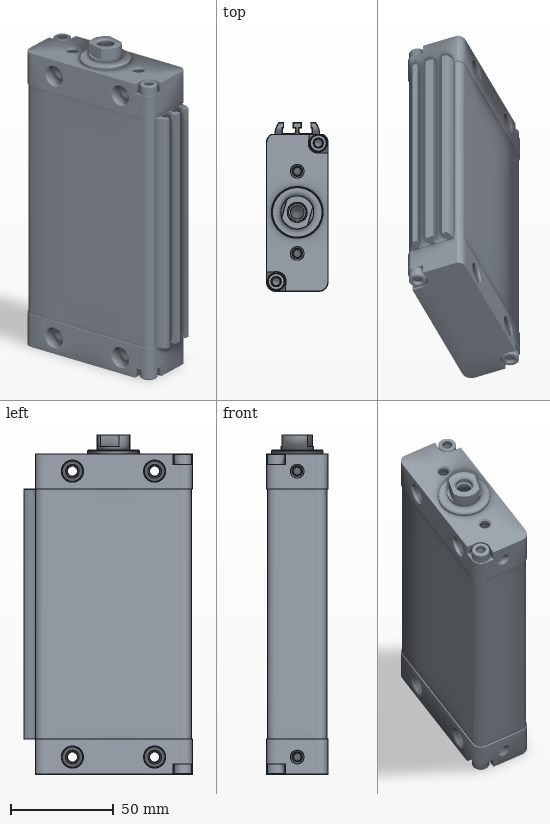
import cadquery as cq
import math

total_height = 165
cap_width = 30.0
cap_height = 17.2
cap_reach = 38.5
cap_flat_reach = 38.0
corner_radius = 4.8
rod_projection = 9.2
cap_top = total_height - rod_projection
barrel_inset = 0.5

hole_height = 8.4
hole_spacing = 40.0
counterbore_diameter = 10.0
counterbore_depth = 5.5
counterbore_chamfer = 0.3
mount_hole_diameter = 5.0
mount_hole_mouth = 6.6
port_diameter = 5.0
port_mouth = 6.6
port_depth = 4.0
port_drill_diameter = 4.0
port_drill_depth = 1.0

screw_x = cap_width / 2 - corner_radius
screw_y = cap_reach - corner_radius
pocket_depth = 5.1
pocket_size_x = 9.2
pocket_size_y = 9.5
pocket_round_diameter = 9.7
head_diameter = 8.5
head_top_diameter = 7.8
socket_diameter = 5.0
socket_point_diameter = 4.0
socket_depth = 2.5

collar_diameter = 25.0
collar_height = 2.0
collar_chamfer = 0.5

rod_diameter = 16.0
rod_across_flats = 13.0
rod_flat_length = 5.8
rod_flat_angle = -15.5
rod_bore_mouth = 9.7
rod_thread_diameter = 8.4
rod_thread_depth = 3.0
rod_bore_diameter = 6.6
rod_bore_depth = 9.9
drill_point_angle = 118

rail_reach = 43.5
rail_lip_y = 41.1
rail_floor_y = 38.3
tee_half_width = 2.0
tee_stem_half_width = 0.8
tee_flare = 0.7
hook_lip_x = 6.6
hook_web_x = 7.3
hook_top_x = 8.9
hook_back_x = 10.2
hook_back_y = 41.2
hook_base_x = 10.9


def rounded_block(width, length, radius, height):
    return cq.Workplane("XY").rect(width, length).extrude(height).edges("|Z").fillet(radius)


def cone_point(diameter):
    """Depth of the conical end that a drill leaves."""
    return diameter / 2 / math.tan(math.radians(drill_point_angle / 2))


def cross_direction(direction):
    """A direction square to the given axis direction."""
    return (0, 1, 0) if direction[0] else (1, 0, 0)


def stepped_tool(start, direction, profile):
    """Turned cutter: profile lists (radius, depth) points, running from start along direction."""
    plane = cq.Plane(origin=start, xDir=cross_direction(direction), normal=direction)
    points = [(0, profile[0][1])] + profile
    if profile[-1][0] > 0:
        points.append((0, profile[-1][1]))
    blank = cq.Workplane("XZ").polyline(points).close().revolve(360, (0, 0), (0, 1))
    return cq.Workplane(blank.val().located(cq.Location(plane)))


def port_tool(start, direction):
    """Threaded blind hole with a chamfered mouth and a narrower drilled end."""
    chamfer = (port_mouth - port_diameter) / 2
    return stepped_tool(start, direction, [
        (port_mouth / 2, 0),
        (port_diameter / 2, chamfer),
        (port_diameter / 2, port_depth),
        (port_drill_diameter / 2, port_depth),
        (port_drill_diameter / 2, port_depth + port_drill_depth),
    ])


def mount_hole_tool(y):
    """Cross hole through the cap in X, counterbored from both faces."""
    tool = None
    bore_chamfer = (mount_hole_mouth - mount_hole_diameter) / 2
    profile = [
        (counterbore_diameter / 2 + counterbore_chamfer, 0),
        (counterbore_diameter / 2, counterbore_chamfer),
        (counterbore_diameter / 2, counterbore_depth),
        (mount_hole_mouth / 2, counterbore_depth),
        (mount_hole_diameter / 2, counterbore_depth + bore_chamfer),
        (mount_hole_diameter / 2, cap_width / 2),
    ]
    for side in (-1, 1):
        half = stepped_tool((side * cap_width / 2, y, cap_height - hole_height), (-side, 0, 0), profile)
        tool = half if tool is None else tool.union(half)
    return tool


def screw_head():
    """Screw head about the Z axis, flush with the outer face of the cap, with a round socket."""
    chamfer = (head_diameter - head_top_diameter) / 2
    head = cq.Workplane("XY").workplane(offset=cap_height - pocket_depth)
    head = head.circle(head_diameter / 2).extrude(pocket_depth).faces(">Z").chamfer(chamfer)
    socket = stepped_tool((0, 0, cap_height), (0, 0, -1), [
        (socket_diameter / 2, 0),
        (socket_diameter / 2, socket_depth),
        (socket_point_diameter / 2, socket_depth),
        (0, socket_depth + cone_point(socket_point_diameter)),
    ])
    return head.cut(socket)


def pocket_tool():
    """Round recess about a screw at the origin, opened out through both faces of the +X +Y corner."""
    tool = cq.Workplane("XY").circle(pocket_round_diameter / 2).extrude(pocket_depth)
    corner = (corner_radius, corner_radius, pocket_depth / 2)
    for width, length in ((2 * pocket_size_x, 2 * corner_radius), (2 * corner_radius, 2 * pocket_size_y)):
        tool = tool.union(cq.Workplane("XY").box(width, length, pocket_depth).translate(corner))
    return tool.translate((0, 0, cap_height - pocket_depth))


def add_corner_screws(cap):
    """Pockets in two opposite corners, each with a screw head standing in it."""
    for turn in (0, 180):
        pocket = pocket_tool().translate((screw_x, screw_y, 0))
        head = screw_head().translate((screw_x, screw_y, 0))
        cap = cap.cut(pocket.rotate((0, 0, 0), (0, 0, 1), turn))
        cap = cap.union(head.rotate((0, 0, 0), (0, 0, 1), turn))
    return cap


def make_cap():
    """End cap with its inner face at Z = 0 and its outer face at Z = cap_height."""
    cap = rounded_block(cap_width, 2 * cap_reach, corner_radius, cap_height)
    trim = cq.Workplane("XY").box(cap_width, cap_reach, cap_height, centered=(True, False, False))
    cap = cap.cut(trim.translate((0, cap_flat_reach, 0)))
    cap = add_corner_screws(cap)
    for y in (-hole_spacing / 2, hole_spacing / 2):
        cap = cap.cut(mount_hole_tool(y))
    return cap.cut(port_tool((0, -cap_reach, cap_height - hole_height), (0, 1, 0)))


def make_upper_cap():
    """Cap with the rod collar, the rod hole and two threaded holes in its outer face."""
    cap = make_cap()
    collar = cq.Workplane("XY").workplane(offset=cap_height).circle(collar_diameter / 2)
    collar = collar.extrude(collar_height).faces(">Z").chamfer(collar_chamfer)
    cap = cap.union(collar)
    for y in (-hole_spacing / 2, hole_spacing / 2):
        cap = cap.cut(port_tool((0, y, cap_height), (0, 0, -1)))
    rod_hole = cq.Workplane("XY").circle(rod_diameter / 2).extrude(cap_height + collar_height)
    return cap.cut(rod_hole).translate((0, 0, cap_top - cap_height))


def make_lower_cap():
    """Plain cap turned over so that its outer face lies at Z = 0."""
    return make_cap().mirror("XY").translate((0, 0, cap_height))


def hook_rail(side, root_y, base_y, length):
    """Outer rail with an arched back and a lip facing the tee rail."""
    hook = cq.Workplane("XY").moveTo(hook_base_x * side, root_y).lineTo(hook_base_x * side, base_y)
    hook = hook.threePointArc((hook_back_x * side, hook_back_y), (hook_top_x * side, rail_reach))
    hook = hook.lineTo(hook_lip_x * side, rail_reach).lineTo(hook_lip_x * side, rail_lip_y)
    hook = hook.lineTo(hook_web_x * side, rail_lip_y).lineTo(hook_web_x * side, root_y)
    return hook.close().extrude(length)


def tee_rail(root_y, length):
    """Middle rail on the slot floor that joins the two hooks."""
    half = [
        (hook_web_x, root_y),
        (hook_web_x, rail_floor_y),
        (tee_stem_half_width + tee_flare, rail_floor_y),
        (tee_stem_half_width, rail_floor_y + tee_flare),
        (tee_stem_half_width, rail_lip_y),
        (tee_half_width, rail_lip_y),
        (tee_half_width, rail_reach),
    ]
    other_half = [(-x, y) for x, y in reversed(half)]
    return cq.Workplane("XY").polyline(half + other_half).close().extrude(length)


def make_barrel():
    """Rounded profile between the caps, carrying the sensor rails."""
    length = cap_top - 2 * cap_height
    reach = cap_reach - barrel_inset
    root_y = reach - corner_radius
    barrel = rounded_block(cap_width - 2 * barrel_inset, 2 * reach, corner_radius - barrel_inset, length)
    barrel = barrel.union(tee_rail(root_y, length))
    for side in (-1, 1):
        barrel = barrel.union(hook_rail(side, root_y, reach, length))
    return barrel.translate((0, 0, cap_height))


def make_rod():
    """Rod running from the inner face of the upper cap, with two wrench flats and a blind bore."""
    foot = cap_top - cap_height
    rod = cq.Workplane("XY").workplane(offset=foot).circle(rod_diameter / 2).extrude(total_height - foot)
    for side in (-1, 1):
        flat = cq.Workplane("XY").box(rod_diameter, 2 * rod_diameter, 2 * rod_flat_length)
        flat = flat.translate((side * (rod_across_flats + rod_diameter) / 2, 0, total_height))
        rod = rod.cut(flat.rotate((0, 0, 0), (0, 0, 1), rod_flat_angle))
    bore = stepped_tool((0, 0, total_height), (0, 0, -1), [
        (rod_bore_mouth / 2, 0),
        (rod_thread_diameter / 2, (rod_bore_mouth - rod_thread_diameter) / 2),
        (rod_thread_diameter / 2, rod_thread_depth),
        (rod_bore_diameter / 2, rod_thread_depth),
        (rod_bore_diameter / 2, rod_bore_depth),
        (0, rod_bore_depth + cone_point(rod_bore_diameter)),
    ])
    return rod.cut(bore)


barrel = make_barrel()
lower_cap = make_lower_cap()
upper_cap = make_upper_cap()
rod = make_rod()

result = cq.Compound.makeCompound([barrel.val(), lower_cap.val(), upper_cap.val(), rod.val()])